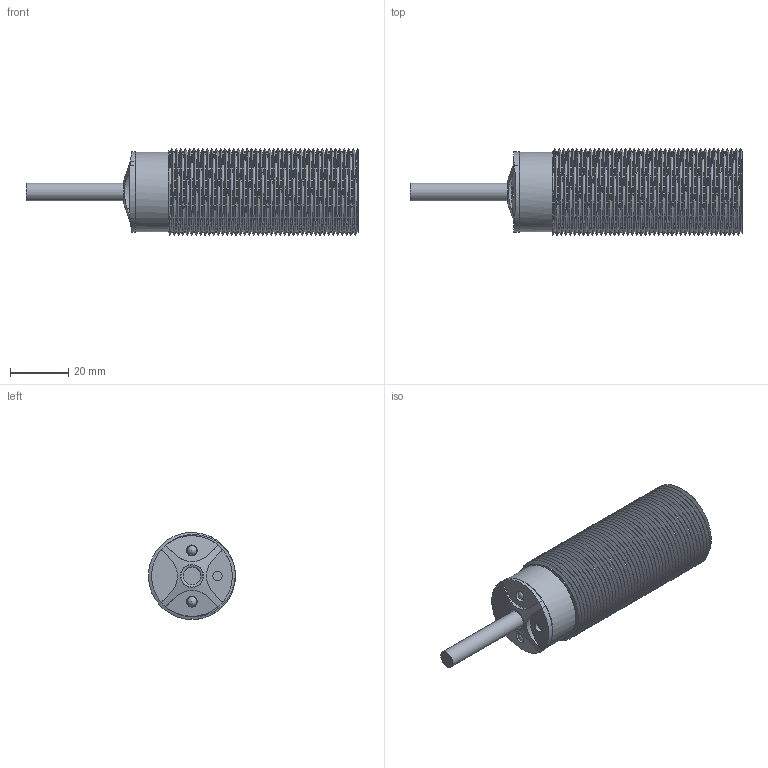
import cadquery as cq
import math

TOTAL_LENGTH = 114.43

CABLE_RADIUS = 3.0

CAP_TIP_X = 33.7
CAP_TIP_RADIUS = 4.0
CAP_EDGE_X = 35.95
CAP_RADIUS = 13.9
CAP_BACK_X = 37.6
CABLE_MOUTH_ROUND = 0.8
CAP_SEAM_ANGLE = 45.0

RECESS_INNER_DISTANCE = 5.0
RECESS_CORNER_RADIUS = 8.2
RECESS_REACH = 2 * CAP_RADIUS
FLAT_RECESS_X = 35.75
SLOPED_RECESS_EDGE_X = 36.5
SLOPED_RECESS_TILT = 9.5

HOLE_DISTANCE = 8.8
HOLE_DEPTH = 1.3
HOLE_FLOOR_X = FLAT_RECESS_X + HOLE_DEPTH
LAMP_RADIUS = 1.6
LAMP_HOLE_RADIUS = 1.9
ADJUSTER_HOLE_RADIUS = 1.6

COLLAR_RADIUS = 13.7
COLLAR_CHAMFER = 0.3
THREAD_START_X = 49.1
THREAD_RADIUS = 15.0
THREAD_ROOT_RADIUS = 13.85
THREAD_PITCH = 1.524
FLANK_ANGLE = 25.0
FIRST_CREST_X = 48.0
RIDGE_TURNS = 44
RIDGE_EMBED = 0.15
RIDGE_BASE_RADIUS = THREAD_ROOT_RADIUS - RIDGE_EMBED
RIDGE_HALF_WIDTH = (THREAD_RADIUS - RIDGE_BASE_RADIUS) * math.tan(math.radians(FLANK_ANGLE))


def cylinder(radius, start_x, end_x, y=0, z=0):
    """Round bar along X between two stations."""
    return cq.Workplane("YZ", origin=(start_x, y, z)).circle(radius).extrude(end_x - start_x)


def make_thread_ridge():
    """Helical ridge about Z, one set of ruled faces per turn, with a triangle at each end."""
    corners = [
        (RIDGE_BASE_RADIUS, -RIDGE_HALF_WIDTH),
        (THREAD_RADIUS, 0),
        (RIDGE_BASE_RADIUS, RIDGE_HALF_WIDTH),
    ]
    turns = []
    for turn in range(RIDGE_TURNS):
        crest_height = FIRST_CREST_X + turn * THREAD_PITCH
        turns.append([
            cq.Wire.makeHelix(THREAD_PITCH, THREAD_PITCH, radius)
            .translate((0, 0, crest_height + shift))
            .Edges()[0]
            for radius, shift in corners
        ])
    faces = [
        cq.Face.makeRuledSurface(helix, following)
        for helices in turns
        for helix, following in zip(helices, helices[1:] + helices[:1])
    ]
    for helices, end in ((turns[0], 0), (turns[-1], 1)):
        triangle = [helix.positionAt(end) for helix in helices]
        faces.append(cq.Face.makeFromWires(cq.Wire.makePolygon(triangle, close=True)))
    return cq.Workplane(cq.Solid.makeSolid(cq.Shell.makeShell(faces)))


def make_housing():
    """Collar, thread root and trimmed ridge, built along Z and then turned onto X."""
    threaded_length = TOTAL_LENGTH - THREAD_START_X
    threaded = cq.Workplane("XY", origin=(0, 0, THREAD_START_X))
    body = (
        threaded
        .circle(THREAD_ROOT_RADIUS)
        .extrude(threaded_length)
        .faces("<Z")
        .workplane()
        .circle(COLLAR_RADIUS)
        .extrude(THREAD_START_X - CAP_BACK_X)
        .faces("<Z")
        .chamfer(COLLAR_CHAMFER)
    )
    trim = threaded.circle(2 * THREAD_RADIUS).extrude(threaded_length)
    ridge = make_thread_ridge().intersect(trim, clean=False)
    return body.union(ridge, clean=False).rotate((0, 0, 0), (0, 1, 0), 90)


def cap_sector(angle, floor_edge_x, tilt):
    """Rounded 90 degree wedge along +Z turned by `angle` about X, and the cap material left in it."""
    apex = RECESS_INNER_DISTANCE - RECESS_CORNER_RADIUS * (math.sqrt(2) - 1)
    top = apex + RECESS_REACH
    wedge = (
        cq.Workplane("YZ")
        .polyline([(0, apex), (RECESS_REACH, top), (-RECESS_REACH, top)])
        .close()
        .extrude(CAP_BACK_X)
        .edges("|X and <Z")
        .fillet(RECESS_CORNER_RADIUS)
    )
    floor_rise = CAP_RADIUS * math.tan(math.radians(tilt))
    behind_floor = (
        cq.Workplane("XZ")
        .polyline([
            (floor_edge_x - floor_rise, 0),
            (CAP_BACK_X, 0),
            (CAP_BACK_X, CAP_RADIUS),
            (floor_edge_x, CAP_RADIUS),
        ])
        .close()
        .extrude(CAP_RADIUS, both=True)
    )
    turn = ((0, 0, 0), (1, 0, 0), angle)
    floor = wedge.intersect(behind_floor).rotate(*turn).intersect(cylinder(CAP_RADIUS, 0, CAP_BACK_X))
    return wedge.rotate(*turn), floor


def make_cap():
    cap = (
        cq.Workplane("XZ")
        .polyline([
            (CAP_TIP_X, 0),
            (CAP_TIP_X, CAP_TIP_RADIUS),
            (CAP_EDGE_X, CAP_RADIUS),
            (CAP_BACK_X, CAP_RADIUS),
            (CAP_BACK_X, 0),
        ])
        .close()
        .revolve(360, (0, 0, 0), (1, 0, 0))
        .rotate((0, 0, 0), (1, 0, 0), CAP_SEAM_ANGLE)
    )
    for angle in (0, 90, 180, 270):
        sloped = angle in (0, 180)
        if sloped:
            wedge, floor = cap_sector(angle, SLOPED_RECESS_EDGE_X, SLOPED_RECESS_TILT)
        else:
            wedge, floor = cap_sector(angle, FLAT_RECESS_X, 0)
        cap = cap.cut(wedge).union(floor, clean=False)
    for side in (-1, 1):
        cap = cap.cut(cylinder(LAMP_HOLE_RADIUS, 0, HOLE_FLOOR_X, z=side * HOLE_DISTANCE))
    cap = cap.cut(cylinder(ADJUSTER_HOLE_RADIUS, 0, HOLE_FLOOR_X, y=-HOLE_DISTANCE))
    cap = cap.cut(cylinder(CABLE_RADIUS, 0, CAP_BACK_X))
    mouth_edge = cq.selectors.RadiusNthSelector(0)
    return cap.faces("<X").edges(mouth_edge).fillet(CABLE_MOUTH_ROUND)


def make_cable():
    return cylinder(CABLE_RADIUS, 0, CAP_BACK_X)


def make_lamp(side):
    """Round-ended lamp standing on the floor of its hole."""
    return (
        cq.Workplane("XY", origin=(HOLE_FLOOR_X, 0, side * HOLE_DISTANCE))
        .moveTo(-LAMP_RADIUS, 0)
        .radiusArc((0, LAMP_RADIUS), LAMP_RADIUS)
        .lineTo(0, 0)
        .close()
        .revolve(360, (0, 0, 0), (1, 0, 0))
    )


housing = make_housing()
cap = make_cap()
cable = make_cable()
lamps = [make_lamp(side) for side in (-1, 1)]

result = cq.Compound.makeCompound([
    housing.val(),
    cap.val(),
    cable.val(),
    *[lamp.val() for lamp in lamps],
])